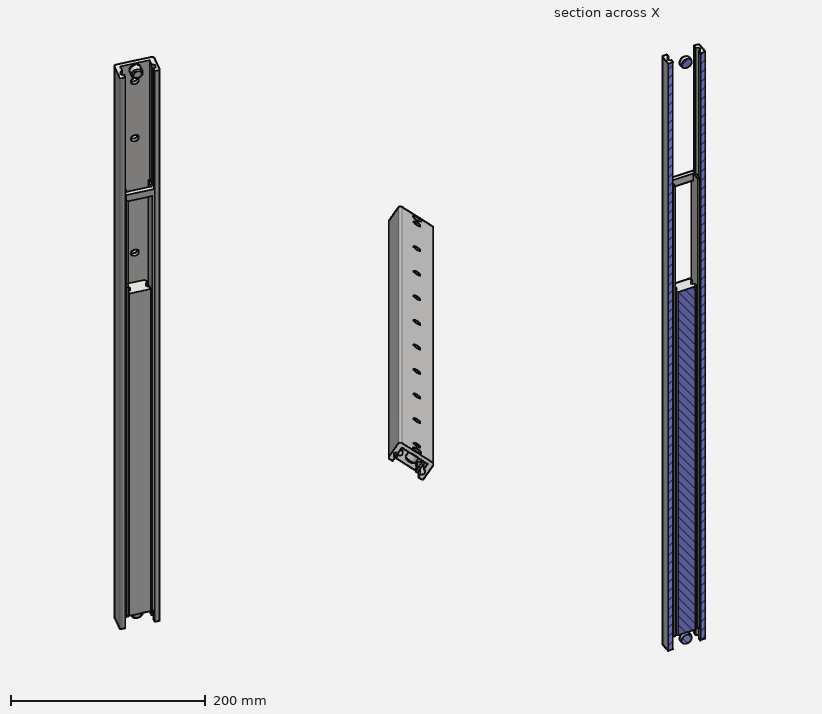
import cadquery as cq

LENGTH = 770.0
OVERALL_DEPTH = 22.0
RAIL_WIDTH = 43.0
CAGE_PROTRUSION = 1.0
RAIL_DEPTH = OVERALL_DEPTH - CAGE_PROTRUSION
WEB_THICKNESS = 4.2
FLANGE_THICKNESS = 5.8
RAIL_CORNER_RADIUS = 2.7
LIP_RADIUS = 1.5

TRACK_X = 3.0
TRACK_RADIUS = 3.0

HOLE_COUNT = 10
HOLE_PITCH = 80.0
HOLE_DIAMETER = 8.5

STOP_END_DISTANCE = 8.0
STOP_SHANK_DIAMETER = 10.0
STOP_HEAD_DIAMETER = 12.0
STOP_HEAD_HEIGHT = 9.0
STOP_HEAD_CHAMFER = 1.5

CARRIAGE_BOTTOM = -369.0
SLIDER_LENGTH = 450.5
SLIDER_WIDTH = 23.0
SLIDER_BACK_GAP = 2.0
SLIDER_BACK_CHAMFER = 2.0
CAGE_LENGTH = 590.0
CAGE_WIDTH = 31.0
CAGE_DEPTH = 15.0
CAGE_THICKNESS = 2.0
BRIDGE_DEPTH = 5.0
BRIDGE_LENGTH = 9.0

BACK_X = -OVERALL_DEPTH / 2
FRONT_X = OVERALL_DEPTH / 2
WEB_INNER_X = BACK_X + WEB_THICKNESS
RAIL_FRONT_X = BACK_X + RAIL_DEPTH
CHANNEL_HALF_WIDTH = RAIL_WIDTH / 2 - FLANGE_THICKNESS
STOP_Z = LENGTH / 2 - STOP_END_DISTANCE


def box_between(x_range, y_range, z_range):
    """Box spanning the given ranges along X, Y and Z."""
    corner = (x_range[0], y_range[0], z_range[0])
    size = [high - low for low, high in (x_range, y_range, z_range)]
    return cq.Workplane("XY").box(*size, centered=False).translate(corner)


def ball_tracks(half_width, bottom, length):
    """Two round rods along Z that cut the ball tracks at +Y and -Y."""
    return (
        cq.Workplane("XY", origin=(0, 0, bottom))
        .pushPoints([(TRACK_X, half_width), (TRACK_X, -half_width)])
        .circle(TRACK_RADIUS)
        .extrude(length)
    )


def web_cylinder(diameter, start_x, length, z):
    """Cylinder along +X, centred on the rail's middle plane."""
    return cq.Workplane("YZ", origin=(start_x, 0, z)).circle(diameter / 2).extrude(length)


def make_rail():
    half_width = RAIL_WIDTH / 2
    half_length = LENGTH / 2
    rail = box_between(
        (BACK_X, RAIL_FRONT_X), (-half_width, half_width), (-half_length, half_length)
    )
    rail = rail.edges("|Z and <X").fillet(RAIL_CORNER_RADIUS)
    rail = rail.edges("|Z and >X").fillet(LIP_RADIUS)
    channel = box_between(
        (WEB_INNER_X, RAIL_FRONT_X),
        (-CHANNEL_HALF_WIDTH, CHANNEL_HALF_WIDTH),
        (-half_length, half_length),
    )
    rail = rail.cut(channel).cut(ball_tracks(CHANNEL_HALF_WIDTH, -half_length, LENGTH))
    for index in range(HOLE_COUNT):
        hole_z = (index - (HOLE_COUNT - 1) / 2) * HOLE_PITCH
        rail = rail.cut(web_cylinder(HOLE_DIAMETER, BACK_X, WEB_THICKNESS, hole_z))
    for stop_z in (-STOP_Z, STOP_Z):
        rail = rail.cut(web_cylinder(STOP_SHANK_DIAMETER, BACK_X, WEB_THICKNESS, stop_z))
    return rail


def make_stop_pin(z):
    """Shank filling its hole in the web, with a wider chamfered head inside the channel."""
    head = web_cylinder(STOP_HEAD_DIAMETER, WEB_INNER_X, STOP_HEAD_HEIGHT, z)
    head = head.faces(">X").chamfer(STOP_HEAD_CHAMFER)
    return head.union(web_cylinder(STOP_SHANK_DIAMETER, BACK_X, WEB_THICKNESS, z))


def make_slider():
    """Solid bar with a ball track along each side, clear of the rail web."""
    half_width = SLIDER_WIDTH / 2
    slider = box_between(
        (WEB_INNER_X + SLIDER_BACK_GAP, RAIL_FRONT_X),
        (-half_width, half_width),
        (CARRIAGE_BOTTOM, CARRIAGE_BOTTOM + SLIDER_LENGTH),
    )
    slider = slider.edges("|Z and <X").chamfer(SLIDER_BACK_CHAMFER)
    return slider.cut(ball_tracks(half_width, CARRIAGE_BOTTOM, SLIDER_LENGTH))


def make_cage():
    """Two thin side strips joined by a bridge above the slider."""
    half_width = CAGE_WIDTH / 2
    inner_half_width = half_width - CAGE_THICKNESS
    top = CARRIAGE_BOTTOM + CAGE_LENGTH
    cage = box_between(
        (FRONT_X - BRIDGE_DEPTH, FRONT_X), (-half_width, half_width), (top - BRIDGE_LENGTH, top)
    )
    for y_range in ((-half_width, -inner_half_width), (inner_half_width, half_width)):
        strip = box_between((FRONT_X - CAGE_DEPTH, FRONT_X), y_range, (CARRIAGE_BOTTOM, top))
        cage = cage.union(strip)
    return cage


rail = make_rail()
slider = make_slider()
cage = make_cage()
stop_pins = [make_stop_pin(z) for z in (-STOP_Z, STOP_Z)]

result = cq.Compound.makeCompound(
    [rail.val(), slider.val(), cage.val(), *[pin.val() for pin in stop_pins]]
)